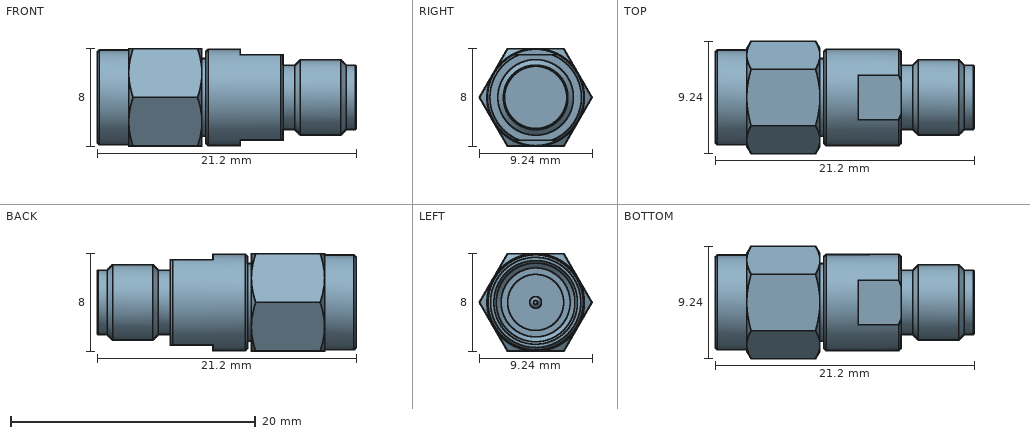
import cadquery as cq
import math

total_length = 21.25

sleeve_radius = 3.9
sleeve_chamfer = 0.2
hex_start = 2.6
hex_end = 8.6
hex_across_flats = 8.0
hex_across_corners = hex_across_flats / math.cos(math.pi / 6)
hex_chamfer_radius = hex_across_flats / 2
hex_chamfer_angle = math.radians(30)

body_start = 8.9
body_end = 15.25
body_radius = 3.95
body_chamfer = 0.2
body_neck_radius = 3.2
flats_start = 11.75
flats_width = 7.0

socket_neck_radius = 2.65
thread_start = 16.22
thread_end = 20.42
thread_radius = 3.1
thread_chamfer = 0.45
socket_tip_chamfer = 0.1

mouth_radius = 3.43
wide_radius = 3.23
bore_radius = 2.83
bore_start = 1.1
bore_end = 3.05
cavity_end = 5.0

shell_radius = 2.3
shell_face = 3.15

pin_radius = 0.48
pin_tip_radius = 0.16
pin_tip_x = 1.7
pin_cone_length = 0.45


def revolve_about_axis(profile_points):
    """Solid of revolution about X from (x, radius) points."""
    profile = cq.Workplane("XY").polyline(profile_points).close()
    return profile.revolve(360, (0, 0, 0), (1, 0, 0))


def cylinder(start, end, radius):
    """Cylinder on the X axis from start to end."""
    return cq.Workplane("YZ").workplane(offset=start).circle(radius).extrude(end - start)


def make_sleeve():
    """Round front of the nut, chamfered at its open end."""
    return cylinder(0, hex_start, sleeve_radius).faces("<X").chamfer(sleeve_chamfer)


def make_hexagon():
    """Hexagon with flats on +Z and -Z and its corners turned off by a cone at each end."""
    corner_radius = hex_across_corners / 2
    prism = (
        cq.Workplane("YZ")
        .workplane(offset=hex_start)
        .polygon(6, hex_across_corners)
        .extrude(hex_end - hex_start)
    )
    cone_length = (corner_radius - hex_chamfer_radius) * math.tan(hex_chamfer_angle)
    envelope = revolve_about_axis([
        (hex_start, 0),
        (hex_start, hex_chamfer_radius),
        (hex_start + cone_length, corner_radius),
        (hex_end - cone_length, corner_radius),
        (hex_end, hex_chamfer_radius),
        (hex_end, 0),
    ])
    return prism.intersect(envelope)


def make_body():
    """Chamfered cylinder with a flat on top and bottom, on a short neck behind the hexagon."""
    body = cylinder(body_start, body_end, body_radius).faces("<X or >X").chamfer(body_chamfer)
    flats_length = body_end - flats_start
    cut_height = body_radius
    for side in (1, -1):
        cutter = cq.Workplane("XY").box(flats_length, 2 * body_radius, cut_height).translate(
            (flats_start + flats_length / 2, 0, side * (flats_width + cut_height) / 2)
        )
        body = body.cut(cutter)
    return body.union(cylinder(hex_end, body_start, body_neck_radius))


def make_socket():
    """Plain neck and tip with a wider chamfered band for the thread."""
    neck = cylinder(body_end, total_length, socket_neck_radius).faces(">X").chamfer(socket_tip_chamfer)
    thread = cylinder(thread_start, thread_end, thread_radius).faces("<X or >X").chamfer(thread_chamfer)
    return neck.union(thread)


def make_cavity():
    """Stepped bore of the nut, with a 45 degree cone between neighbouring widths."""
    mouth_cone_length = mouth_radius - wide_radius
    bore_cone_length = wide_radius - bore_radius
    return revolve_about_axis([
        (0, 0),
        (0, mouth_radius),
        (mouth_cone_length, wide_radius),
        (bore_start - bore_cone_length, wide_radius),
        (bore_start, bore_radius),
        (bore_end, bore_radius),
        (bore_end + bore_cone_length, wide_radius),
        (cavity_end, wide_radius),
        (cavity_end, 0),
    ])


def make_shell():
    """Round post from the cavity floor up to the face that carries the pin."""
    return cylinder(shell_face, cavity_end, shell_radius)


def make_pin():
    """Pin standing on the shell face, with a blunt conical tip."""
    return revolve_about_axis([
        (pin_tip_x, 0),
        (pin_tip_x, pin_tip_radius),
        (pin_tip_x + pin_cone_length, pin_radius),
        (shell_face, pin_radius),
        (shell_face, 0),
    ])


result = (
    make_sleeve()
    .union(make_hexagon())
    .union(make_body())
    .union(make_socket())
    .cut(make_cavity())
    .union(make_shell())
    .union(make_pin())
)